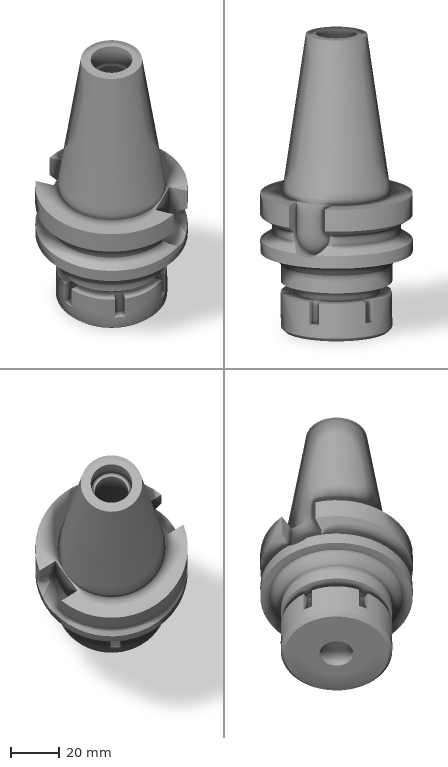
import cadquery as cq

total_height = 125.4
gauge_z = 60.0
flange_top_z = 58.0
groove_upper_rim_z = 48.8
groove_upper_root_z = 45.6
groove_lower_root_z = 41.6
groove_lower_rim_z = 38.5
flange_bottom_z = 33.1
collar_top_z = 28.2
collar_bottom_z = 20.7
nut_height = 16.2

taper_small_diameter = 25.3
taper_large_diameter = 44.4
flange_diameter = 63.0
groove_diameter = 53.2
cone_top_diameter = 54.9
collar_diameter = 46.0
neck_diameter = 36.0

bore_diameter = 14.0
counterbore_diameter = 17.2
counterbore_depth = 9.0

drive_slot_width = 16.2
drive_slot_bottom_z = 37.2
drive_slot_floor_x = 22.5

nut_diameter = collar_diameter
nut_chamfer = 1.5
wrench_slot_count = 6
wrench_slot_width = 4.1
wrench_slot_length = 9.4
wrench_slot_floor_radius = 19.4


def make_holder_blank():
    """Taper, grooved flange, cone, collar and neck revolved as one profile."""
    profile = [
        (0, 0),
        (neck_diameter / 2, 0),
        (neck_diameter / 2, collar_bottom_z),
        (collar_diameter / 2, collar_bottom_z),
        (collar_diameter / 2, collar_top_z),
        (cone_top_diameter / 2, flange_bottom_z),
        (flange_diameter / 2, flange_bottom_z),
        (flange_diameter / 2, groove_lower_rim_z),
        (groove_diameter / 2, groove_lower_root_z),
        (groove_diameter / 2, groove_upper_root_z),
        (flange_diameter / 2, groove_upper_rim_z),
        (flange_diameter / 2, flange_top_z),
        (taper_large_diameter / 2, flange_top_z),
        (taper_large_diameter / 2, gauge_z),
        (taper_small_diameter / 2, total_height),
        (0, total_height),
    ]
    return cq.Workplane("XZ").polyline(profile).close().revolve(360, (0, 0, 0), (0, 1, 0))


def make_drive_slot(side):
    """Round-bottomed slot cutter, open at the flange top; side is -1 or +1 along X."""
    half_width = drive_slot_width / 2
    arc_centre_z = drive_slot_bottom_z + half_width
    return (
        cq.Workplane("YZ", origin=(side * drive_slot_floor_x, 0, 0))
        .moveTo(-half_width, flange_top_z)
        .lineTo(-half_width, arc_centre_z)
        .threePointArc((0, drive_slot_bottom_z), (half_width, arc_centre_z))
        .lineTo(half_width, flange_top_z)
        .close()
        .extrude(side * flange_diameter / 2)
    )


def make_holder():
    holder = make_holder_blank()
    for side in (-1, 1):
        holder = holder.cut(make_drive_slot(side))
    return holder.faces(">Z").workplane().cboreHole(bore_diameter, counterbore_diameter, counterbore_depth)


def make_wrench_slot(angle):
    """Box cutter for one wrench slot, open at the rim and at the top of the nut."""
    return (
        cq.Workplane("XY", origin=(0, 0, nut_height - wrench_slot_length))
        .rect(nut_diameter, wrench_slot_width)
        .extrude(wrench_slot_length)
        .translate((wrench_slot_floor_radius + nut_diameter / 2, 0, 0))
        .rotate((0, 0, 0), (0, 0, 1), angle)
    )


def make_nut():
    """Slotted ring that fits around the lower end of the holder neck."""
    nut = cq.Workplane("XY").circle(nut_diameter / 2).extrude(nut_height)
    nut = nut.faces("<Z").chamfer(nut_chamfer)
    nut = nut.cut(cq.Workplane("XY").circle(neck_diameter / 2).extrude(nut_height))
    for index in range(wrench_slot_count):
        nut = nut.cut(make_wrench_slot(index * 360 / wrench_slot_count))
    return nut


holder = make_holder()
nut = make_nut()

result = cq.Compound.makeCompound([holder.val(), nut.val()])